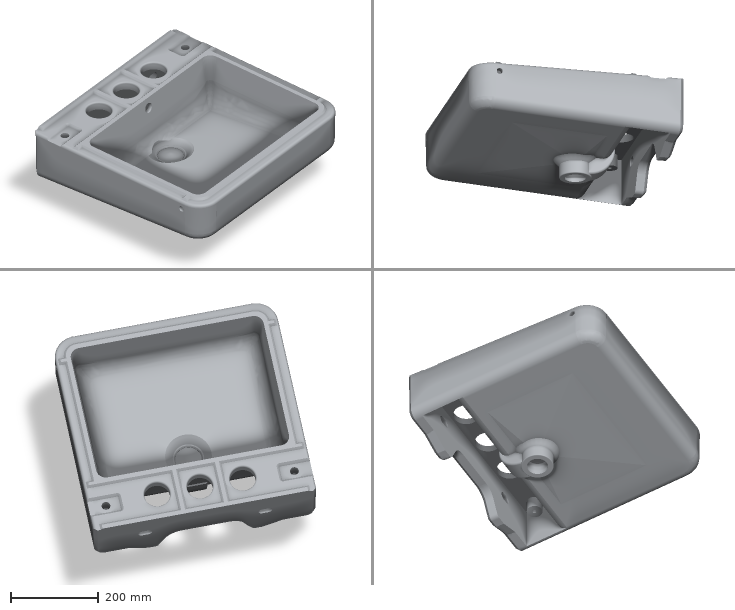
import cadquery as cq
import math

LENGTH = 495.0
WIDTH = 520.0
HEIGHT = 172.13

RIM_HEIGHT = 5.0
DECK_Z = -RIM_HEIGHT
SIDE_DRAFT = 1.0
PLAN_CORNER_RADIUS = 52.0
DECK_EDGE_RADIUS = 7.0
DRAFT_ALLOWANCE = (
    DECK_EDGE_RADIUS / math.tan(math.radians(45 - SIDE_DRAFT / 2)) * math.sin(math.radians(SIDE_DRAFT))
)
BOTTOM_EDGE_RADIUS = 23.0
REAR_BOTTOM_Z = -137.0
FRONT_BOTTOM_Z = -108.0
REAR_BEVEL = 8.0
BELLY_TIP_Z = -133.0
BELLY_OVERLAP = 2.0
BELLY_REAR_X = 150.0
BELLY_FRONT_X = 435.0
BELLY_HALF_WIDTH = 215.0

WALL_PLATE = 28.0
FOOT_Z = -154.5
FOOT_OVERLAP = 6.0
FOOT_OUTER_Y = 183.0
FOOT_FLAT_OUTER_Y = 135.0
FOOT_FLAT_INNER_Y = 107.0
FOOT_INNER_RADIUS = 12.0
ARCH_TOP_Z = -95.0
ARCH_TOP_HALF_WIDTH = 76.0
ARCH_RADIUS = 37.0
FOOT_INNER_Y = 90.0
HOLLOW_TOP_Z = -25.0
HOLLOW_FRONT_X = 110.0
HOLLOW_HALF_WIDTH = 240.0
HOLLOW_FLARE_RADIUS = 32.0
HOLLOW_FLARE_Z = -98.0

RIM_TAPER = 45.0
RIM_REAR_X = 109.0
RIM_FRONT_X = 475.0
RIM_HALF_WIDTH = 240.0
RIM_CORNER_RADIUS = 33.0
REAR_STRIP_X = 15.0
REAR_STRIP_HALF_WIDTH = 245.0
RIM_LEG_END_Y = 254.0
REAR_LEG_X = (RIM_REAR_X, 126.0)
FRONT_LEG_X = (427.0, 444.0)
DIVIDER_Y = 50.0
DIVIDER_WIDTH = 19.0

BOWL_REAR_X = 125.0
BOWL_FRONT_X = 459.0
BOWL_HALF_WIDTH = 225.0
BOWL_CORNER_RADIUS = 13.0
BOWL_WALL_BOTTOM_Z = -63.0
BOWL_WALL_INSET = 9.5
BOWL_SWEEP_ANGLES = (0, 30, 60, 90)
FLOOR_REAR_X = 165.0
FLOOR_FRONT_X = 414.0
FLOOR_HALF_WIDTH = 180.0
FLOOR_CORNER_RADIUS = 1.0
FLOOR_REAR_Z = -119.0
FLOOR_FRONT_Z = -94.0
FLOOR_TILT = math.atan2(FLOOR_FRONT_Z - FLOOR_REAR_Z, FLOOR_FRONT_X - FLOOR_REAR_X)

DRAIN_X = 194.0
DISH_RADIUS = 53.5
DISH_RECESS_RADIUS = 43.0
DISH_RECESS_DEPTH = 15.0
DISH_BOTTOM_RADIUS = 36.0
DISH_BOTTOM_Z = -127.0
PLUG_DIAMETER = 60.0
PLUG_THICKNESS = 8.0
PLUG_CONE_HEIGHT = 5.0
SEAT_Z = DISH_BOTTOM_Z - 12.0
DRAIN_BORE_DIAMETER = 48.25
DRAIN_LEAD_IN = 3.0
BOSS_DIAMETER = 74.0
BOSS_FLARE = 14.0
BOSS_EDGE_RADIUS = 2.0
BOSS_TOP_Z = -118.0
BOSS_FLARE_Z = -135.0
DUCT_HALF_WIDTH = 27.0
DUCT_EDGE_RADIUS = 5.0
DUCT_REAR_X = 106.0
DUCT_TOP_Z = -90.0
DUCT_BOTTOM_Z = -168.0
DUCT_BEND_RADIUS = 62.0
OVERFLOW_DIAMETER = 24.0
OVERFLOW_Z = -26.0
OVERFLOW_DEPTH = 14.0

TAP_X = 63.5
TAP_PITCH = 100.0
TAP_DIAMETER = 60.0
TAP_EDGE_RADIUS = 4.0
FIXING_X = 60.0
FIXING_Y = 220.0
FIXING_DIAMETER = 10.0
FIXING_BORE_DIAMETER = 20.0
FIXING_BORE_BOTTOM_Z = -45.0
FIXING_BOSS_DIAMETER = 36.0
FIXING_BOSS_BOTTOM_Z = -55.0
POCKET_FLOOR_Z = -11.0
POCKET_FLOOR_X = (43.0, 78.0)
POCKET_FLOOR_Y = 188.0
POCKET_CORNER_RADIUS = 2.0
POCKET_TAPER = 45.0
WALL_SLOT_Y = 140.0
WALL_SLOT_Z = -65.0
WALL_SLOT_LENGTH = 32.5
WALL_SLOT_HEIGHT = 20.0
SIDE_HOLE_X = 434.0
SIDE_HOLE_Z = -26.0
SIDE_HOLE_DIAMETER = 14.0
SIDE_HOLE_DEPTH = 15.0

MARGIN = 2.0
OVERRUN = 30.0
BOTH_SIDES = (-1, 1)


def block(x_range, y_range, z_range):
    """Plain block between two limits along each axis."""
    size = [high - low for low, high in (x_range, y_range, z_range)]
    return cq.Workplane("XY").box(*size, centered=False).translate((x_range[0], y_range[0], z_range[0]))


def plate(x_range, y_range, z, height, taper, corner_radius=0.0, corners=None):
    """Tapered plate standing on height z; positive taper narrows it upwards."""
    x_size = x_range[1] - x_range[0]
    y_size = y_range[1] - y_range[0]
    outline = cq.Sketch().rect(x_size, y_size)
    if corner_radius:
        outline = outline.vertices(corners).fillet(corner_radius)
    center = ((x_range[0] + x_range[1]) / 2, (y_range[0] + y_range[1]) / 2, z)
    return cq.Workplane("XY", origin=center).placeSketch(outline).extrude(height, taper=taper)


def upright_cylinder(x, y, diameter, bottom, top):
    return cq.Workplane("XY", origin=(x, y, bottom)).circle(diameter / 2).extrude(top - bottom)


def outer_shell():
    """Drafted block with a sloping underside, rounded all round except at the wall face."""
    outline = cq.Sketch().rect(2 * (LENGTH + DRAFT_ALLOWANCE), WIDTH + 2 * DRAFT_ALLOWANCE)
    plan = outline.vertices(">X").fillet(PLAN_CORNER_RADIUS)
    prism = cq.Workplane("XY", origin=(0, 0, DECK_Z)).placeSketch(plan).extrude(-HEIGHT, taper=SIDE_DRAFT)
    side_profile = (
        cq.Workplane("XZ", origin=(0, WIDTH, 0))
        .polyline([(0, DECK_Z), (LENGTH, DECK_Z), (LENGTH, FRONT_BOTTOM_Z), (0, REAR_BOTTOM_Z)])
        .close()
        .extrude(2 * WIDTH)
    )
    shell = prism.intersect(side_profile)
    return shell.faces("<Z").edges("not <X").fillet(BOTTOM_EDGE_RADIUS)


def belly():
    """Low pyramid under the bowl, pointing at the drain."""
    slope = (FRONT_BOTTOM_Z - REAR_BOTTOM_Z) / LENGTH
    corners = [
        (x, side * BELLY_HALF_WIDTH, REAR_BOTTOM_Z + slope * x + BELLY_OVERLAP)
        for x, side in (
            (BELLY_REAR_X, -1),
            (BELLY_FRONT_X, -1),
            (BELLY_FRONT_X, 1),
            (BELLY_REAR_X, 1),
        )
    ]
    tip = (DRAIN_X, 0, BELLY_TIP_Z)
    faces = [cq.Face.makeFromWires(cq.Wire.makePolygon(corners, close=True))]
    for start, end in zip(corners, corners[1:] + corners[:1]):
        faces.append(cq.Face.makeFromWires(cq.Wire.makePolygon([start, end, tip], close=True)))
    return cq.Workplane(cq.Solid.makeSolid(cq.Shell.makeShell(faces)))


def foot(side):
    """Foot of the wall plate, hanging below the shell on one side of the arch."""
    foot_top = REAR_BOTTOM_Z + FOOT_OVERLAP
    flank_run = (FOOT_OUTER_Y - FOOT_FLAT_OUTER_Y) / (REAR_BOTTOM_Z - FOOT_Z)
    buried_y = FOOT_OUTER_Y + flank_run * (foot_top - REAR_BOTTOM_Z)
    outline = [
        (side * FOOT_FLAT_OUTER_Y, FOOT_Z),
        (side * FOOT_FLAT_INNER_Y, FOOT_Z),
        (side * FOOT_INNER_Y, foot_top),
        (side * buried_y, foot_top),
    ]
    return cq.Workplane("YZ").polyline(outline).close().extrude(WALL_PLATE)


def arch_opening():
    """Flared opening between the feet, through the wall plate only."""
    bottom_z = FOOT_Z - OVERRUN
    lean = (FOOT_FLAT_INNER_Y - ARCH_TOP_HALF_WIDTH) / (ARCH_TOP_Z - FOOT_Z)
    bottom_y = FOOT_FLAT_INNER_Y + lean * OVERRUN
    opening = (
        cq.Workplane("YZ", origin=(-OVERRUN, 0, 0))
        .polyline(
            [
                (-bottom_y, bottom_z),
                (-ARCH_TOP_HALF_WIDTH, ARCH_TOP_Z),
                (ARCH_TOP_HALF_WIDTH, ARCH_TOP_Z),
                (bottom_y, bottom_z),
            ]
        )
        .close()
        .extrude(WALL_PLATE + 2 * OVERRUN)
    )
    return opening.edges("|X and >Z").fillet(ARCH_RADIUS)


def deck_hollow():
    """Space behind the wall plate and under the tap deck, open downwards."""
    flare_x = HOLLOW_FRONT_X + HOLLOW_FLARE_RADIUS
    flare_z = HOLLOW_FLARE_Z - HOLLOW_FLARE_RADIUS
    bottom_z = -HEIGHT - OVERRUN
    return (
        cq.Workplane("XZ", origin=(0, HOLLOW_HALF_WIDTH, 0))
        .moveTo(WALL_PLATE, bottom_z)
        .lineTo(WALL_PLATE, HOLLOW_TOP_Z)
        .lineTo(HOLLOW_FRONT_X, HOLLOW_TOP_Z)
        .lineTo(HOLLOW_FRONT_X, HOLLOW_FLARE_Z)
        .radiusArc((flare_x, flare_z), -HOLLOW_FLARE_RADIUS)
        .lineTo(flare_x, bottom_z)
        .close()
        .extrude(2 * HOLLOW_HALF_WIDTH)
    )


def outer_body():
    """Shell with the feet, arch, rear bevel, rounded deck edge, hollow and belly."""
    body = outer_shell()
    for side in BOTH_SIDES:
        body = body.union(foot(side))
    body = body.cut(arch_opening())
    heels = cq.selectors.BoxSelector(
        (0, -FOOT_FLAT_INNER_Y - MARGIN, FOOT_Z - MARGIN),
        (WALL_PLATE, FOOT_FLAT_INNER_Y + MARGIN, FOOT_Z + MARGIN),
    )
    body = body.edges("|X").edges(heels).fillet(FOOT_INNER_RADIUS)
    body = body.faces("<X").edges("not >Z").chamfer(REAR_BEVEL)
    body = body.faces(">Z").edges(">X").fillet(DECK_EDGE_RADIUS)
    return body.cut(deck_hollow()).union(belly())


def raised_bar(x_range, y_range, corner_radius=0.0, corners=None):
    """Bar of the raised rim, with sloping sides; the limits are those of its foot."""
    return plate(x_range, y_range, DECK_Z, RIM_HEIGHT, RIM_TAPER, corner_radius, corners)


def raised_rim():
    """Frame round the bowl, strip along the wall, bars between the taps and legs to the sides."""
    rim = raised_bar(
        (RIM_REAR_X, RIM_FRONT_X), (-RIM_HALF_WIDTH, RIM_HALF_WIDTH), RIM_CORNER_RADIUS, ">X"
    )
    rim = rim.union(
        raised_bar((-OVERRUN, REAR_STRIP_X), (-REAR_STRIP_HALF_WIDTH, REAR_STRIP_HALF_WIDTH))
    )
    for side in BOTH_SIDES:
        middle = side * DIVIDER_Y
        bar_y = (middle - DIVIDER_WIDTH / 2, middle + DIVIDER_WIDTH / 2)
        rim = rim.union(raised_bar((0, RIM_REAR_X + OVERRUN), bar_y))
    for leg_x in (REAR_LEG_X, FRONT_LEG_X):
        rim = rim.union(raised_bar(leg_x, (-RIM_LEG_END_Y, RIM_LEG_END_Y)))
    return rim.cut(block((-2 * OVERRUN, 0), (-WIDTH, WIDTH), (-HEIGHT, HEIGHT)))


def floor_z(x):
    """Height of the sloping bowl floor at a distance x from the wall."""
    return FLOOR_REAR_Z + (x - FLOOR_REAR_X) * math.tan(FLOOR_TILT)


def tilted_plane(x, z, tilt):
    """Plane through (x, 0, z) that rises away from the wall by an angle in radians."""
    return cq.Plane(
        origin=(x, 0, z),
        xDir=(math.cos(tilt), 0, math.sin(tilt)),
        normal=(-math.sin(tilt), 0, math.cos(tilt)),
    )


def bowl_section(inset_share, depth_share):
    """Closed outline of the bowl between its wall bottom (shares 0) and its floor (shares 1)."""

    def between(start, end, share):
        return start + share * (end - start)

    rear = between(BOWL_REAR_X + BOWL_WALL_INSET, FLOOR_REAR_X, inset_share)
    front = between(BOWL_FRONT_X - BOWL_WALL_INSET, FLOOR_FRONT_X, inset_share)
    half_width = between(BOWL_HALF_WIDTH - BOWL_WALL_INSET, FLOOR_HALF_WIDTH, inset_share)
    radius = between(BOWL_CORNER_RADIUS, FLOOR_CORNER_RADIUS, inset_share)
    rear_z = between(BOWL_WALL_BOTTOM_Z, FLOOR_REAR_Z, depth_share)
    front_z = between(BOWL_WALL_BOTTOM_Z, FLOOR_FRONT_Z, depth_share)
    tilt = math.atan2(front_z - rear_z, front - rear)
    length = (front - rear) / math.cos(tilt)
    plane = tilted_plane((rear + front) / 2, (rear_z + front_z) / 2, tilt)
    outline = cq.Sketch().rect(length, 2 * half_width).vertices().fillet(radius).reset()
    return outline.moved(cq.Location(plane)).faces().val().outerWire()


def cut_bowl(body):
    """Drafted wall, then a rounded sweep into the sloping floor."""
    wall_taper = math.degrees(math.atan2(BOWL_WALL_INSET, -BOWL_WALL_BOTTOM_Z))
    wall = plate(
        (BOWL_REAR_X, BOWL_FRONT_X),
        (-BOWL_HALF_WIDTH, BOWL_HALF_WIDTH),
        0,
        BOWL_WALL_BOTTOM_Z,
        wall_taper,
        BOWL_CORNER_RADIUS + BOWL_WALL_INSET,
    )
    sweep_angles = [math.radians(degrees) for degrees in BOWL_SWEEP_ANGLES]
    sections = [bowl_section(1 - math.cos(angle), math.sin(angle)) for angle in sweep_angles]
    return body.cut(wall).cut(cq.Workplane(cq.Solid.makeLoft(sections)))


def drain_boss():
    """Round outlet under the bowl, flared where it leaves the underside."""
    radius = BOSS_DIAMETER / 2
    profile = [
        (0, BOSS_TOP_Z),
        (radius + BOSS_FLARE, BOSS_TOP_Z),
        (radius + BOSS_FLARE, BOSS_FLARE_Z + BOSS_FLARE / 2),
        (radius, BOSS_FLARE_Z - BOSS_FLARE / 2),
        (radius, -HEIGHT),
        (0, -HEIGHT),
    ]
    boss = cq.Workplane("XZ").polyline(profile).close().revolve()
    return boss.faces("<Z").edges().fillet(BOSS_EDGE_RADIUS).translate((DRAIN_X, 0, 0))


def overflow_duct():
    """Curved duct that runs from the rear of the bowl down to the drain boss."""
    duct = block((DUCT_REAR_X, DRAIN_X), (-DUCT_HALF_WIDTH, DUCT_HALF_WIDTH), (DUCT_BOTTOM_Z, DUCT_TOP_Z))
    duct = duct.edges("<X and <Z").fillet(DUCT_BEND_RADIUS)
    return duct.edges("%CIRCLE").fillet(DUCT_EDGE_RADIUS)


def cut_drain(body):
    """Dish in the bowl floor and rear sweep, seat for the plug and bore through the boss."""
    rim_plane = tilted_plane(DRAIN_X, floor_z(DRAIN_X), FLOOR_TILT)
    dish_rim = cq.Workplane(rim_plane).circle(DISH_RADIUS).wires().val()
    dish_base = (
        cq.Workplane("XY", origin=(DRAIN_X, 0, DISH_BOTTOM_Z)).circle(DISH_BOTTOM_RADIUS).wires().val()
    )
    dish = cq.Workplane(cq.Solid.makeLoft([dish_rim, dish_base], True))
    rear_recess = cq.Workplane(rim_plane).circle(DISH_RECESS_RADIUS).extrude(DISH_RECESS_DEPTH)
    seat_radius = PLUG_DIAMETER / 2
    bore_radius = DRAIN_BORE_DIAMETER / 2
    bore_profile = [
        (0, DISH_BOTTOM_Z),
        (seat_radius + DRAIN_LEAD_IN, DISH_BOTTOM_Z),
        (seat_radius, DISH_BOTTOM_Z - DRAIN_LEAD_IN),
        (seat_radius, SEAT_Z),
        (bore_radius, SEAT_Z),
        (bore_radius, -HEIGHT),
        (0, -HEIGHT),
    ]
    bore = cq.Workplane("XZ").polyline(bore_profile).close().revolve().translate((DRAIN_X, 0, 0))
    return body.cut(dish).cut(rear_recess).cut(bore)


def cut_overflow(body):
    """Blind overflow hole in the rear wall of the bowl."""
    inlet = (
        cq.Workplane("YZ", origin=(BOWL_REAR_X + BOWL_WALL_INSET - OVERFLOW_DEPTH, 0, OVERFLOW_Z))
        .circle(OVERFLOW_DIAMETER / 2)
        .extrude(OVERFLOW_DEPTH)
    )
    return body.cut(inlet)


def cut_tap_holes(body):
    """Row of tap holes through the deck, with rounded top edges."""
    for step in (-1, 0, 1):
        y = step * TAP_PITCH
        body = body.cut(upright_cylinder(TAP_X, y, TAP_DIAMETER, -HEIGHT, 0))
        top_edge = cq.selectors.NearestToPointSelector((TAP_X, y, DECK_Z))
        body = body.edges("%CIRCLE").edges(top_edge).fillet(TAP_EDGE_RADIUS)
    return body


def cut_fixing(body, side):
    """Pocket at the side of the deck with a stepped hole in its floor."""
    y = side * FIXING_Y
    flare = DECK_Z - POCKET_FLOOR_Z
    floor_y = sorted((side * POCKET_FLOOR_Y, side * (WIDTH / 2 + OVERRUN)))
    pocket = plate(POCKET_FLOOR_X, floor_y, POCKET_FLOOR_Z, flare, -POCKET_TAPER, POCKET_CORNER_RADIUS)
    boss = upright_cylinder(FIXING_X, y, FIXING_BOSS_DIAMETER, FIXING_BOSS_BOTTOM_Z, HOLLOW_TOP_Z)
    counterbore = upright_cylinder(FIXING_X, y, FIXING_BORE_DIAMETER, FIXING_BORE_BOTTOM_Z, 0)
    hole = upright_cylinder(FIXING_X, y, FIXING_DIAMETER, -HEIGHT, 0)
    return body.union(boss).cut(pocket).cut(counterbore).cut(hole)


def wall_slot(side):
    return (
        cq.Workplane("YZ", origin=(-OVERRUN, side * WALL_SLOT_Y, WALL_SLOT_Z))
        .slot2D(WALL_SLOT_LENGTH, WALL_SLOT_HEIGHT)
        .extrude(WALL_PLATE + 2 * OVERRUN)
    )


def side_hole(side):
    """Blind hole in a side wall, near the front."""
    start_y = side * (WIDTH / 2 - SIDE_HOLE_DEPTH)
    return (
        cq.Workplane("XZ", origin=(SIDE_HOLE_X, start_y, SIDE_HOLE_Z))
        .circle(SIDE_HOLE_DIAMETER / 2)
        .extrude(-side * (SIDE_HOLE_DEPTH + OVERRUN))
    )


def make_basin():
    basin = outer_body().union(overflow_duct()).union(drain_boss())
    basin = cut_tap_holes(basin)
    basin = basin.union(raised_rim())
    basin = cut_overflow(cut_drain(cut_bowl(basin)))
    for side in BOTH_SIDES:
        basin = cut_fixing(basin, side)
        basin = basin.cut(wall_slot(side)).cut(side_hole(side))
    return basin


def make_drain_plug():
    """Round plug with a low conical top, resting on the seat inside the drain."""
    radius = PLUG_DIAMETER / 2
    edge_z = SEAT_Z + PLUG_THICKNESS
    return (
        cq.Workplane("XZ")
        .moveTo(0, SEAT_Z)
        .lineTo(radius, SEAT_Z)
        .lineTo(radius, edge_z)
        .lineTo(0, edge_z + PLUG_CONE_HEIGHT)
        .close()
        .revolve()
        .translate((DRAIN_X, 0, 0))
    )


basin = make_basin()
drain_plug = make_drain_plug()

result = cq.Compound.makeCompound([basin.val(), drain_plug.val()])